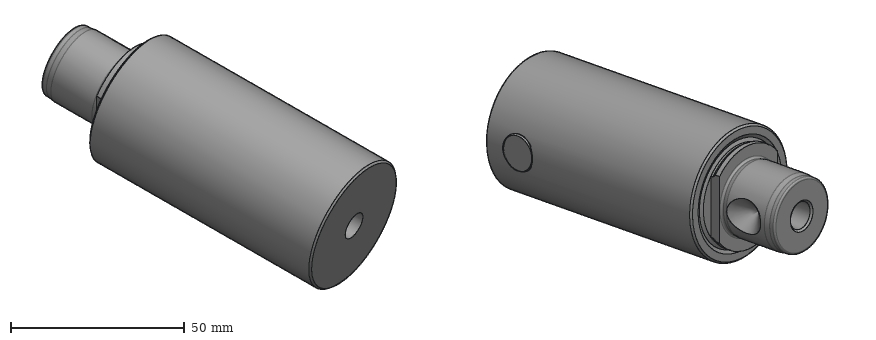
import cadquery as cq
import math

total_length = 104.0
body_start = 24.0
body_radius = 21.0
body_chamfer = 0.6

bore_radius = 4.25
bore_chamfer = 0.6

shank_radius = 12.0
pilot_radius = 11.7
pilot_fillet = 0.6
pilot_end = 1.9
lead_in_end = 3.7
undercut_start = 18.5
undercut_radius = 11.7
root_fillet = 0.7

flange_start = 20.6
flange_rim_end = 22.3
flange_radius = 16.3
flat_distance = 12.5

groove_start = 23.2
groove_radius = 15.75
recess_mouth_radius = 18.0
recess_floor_radius = 16.9
recess_depth = 0.5

dimple_x = 11.7
dimple_mouth_radius = 6.6
dimple_half_angle = math.radians(45.0)
dimple_clearance = 1.0
dimple_depth = dimple_mouth_radius / math.tan(dimple_half_angle)

screw_x = 91.4
screw_radius = 5.8
screw_length = 9.0
screw_chamfer_height = 0.6
screw_chamfer_width = 0.3


def along_y(radius, x, y_outer, length):
    """Cylinder with its outer end at y_outer, reaching inward along -Y."""
    center = cq.Vector(x, y_outer, 0)
    return cq.Workplane(cq.Solid.makeCylinder(radius, length, center, cq.Vector(0, -1, 0)))


def make_turned_blank():
    """Outer shape of the extension, revolved about X."""
    arc_offset = root_fillet * math.sin(math.radians(45.0))
    tip_offset = pilot_fillet * math.sin(math.radians(45.0))
    root_radius = undercut_radius + root_fillet
    return (
        cq.Workplane("XZ")
        .moveTo(0, 0)
        .lineTo(0, pilot_radius - pilot_fillet)
        .threePointArc(
            (pilot_fillet - tip_offset, pilot_radius - pilot_fillet + tip_offset),
            (pilot_fillet, pilot_radius),
        )
        .lineTo(pilot_end, pilot_radius)
        .lineTo(lead_in_end, shank_radius)
        .lineTo(undercut_start, shank_radius)
        .lineTo(flange_start - root_fillet, undercut_radius)
        .threePointArc(
            (flange_start - root_fillet + arc_offset, root_radius - arc_offset),
            (flange_start, root_radius),
        )
        .lineTo(flange_start, flange_radius)
        .lineTo(flange_rim_end, flange_radius)
        .lineTo(groove_start, groove_radius)
        .lineTo(body_start, groove_radius)
        .lineTo(body_start + recess_depth, recess_floor_radius)
        .lineTo(body_start, recess_mouth_radius)
        .lineTo(body_start, body_radius - body_chamfer)
        .lineTo(body_start + body_chamfer, body_radius)
        .lineTo(total_length - body_chamfer, body_radius)
        .lineTo(total_length, body_radius - body_chamfer)
        .lineTo(total_length, 0)
        .close()
        .revolve(360, (0, 0, 0), (1, 0, 0))
    )


def make_bore():
    """Through bore, with a chamfered mouth at the shank tip."""
    return (
        cq.Workplane("XZ")
        .moveTo(0, 0)
        .lineTo(0, bore_radius + bore_chamfer)
        .lineTo(bore_chamfer, bore_radius)
        .lineTo(total_length, bore_radius)
        .lineTo(total_length, 0)
        .close()
        .revolve(360, (0, 0, 0), (1, 0, 0))
    )


def make_flat_cutter(side):
    """Block that trims one wrench flat; side is +1 or -1 along Y."""
    length = body_start - flange_start
    thickness = flange_radius - flat_distance
    return cq.Workplane("XY").box(length, thickness, 2 * flange_radius).translate(
        (flange_start + length / 2, side * (flat_distance + thickness / 2), 0)
    )


def make_dimple():
    """Cone pointing inward along -Y, continued past the shank surface."""
    outer_y = shank_radius + dimple_clearance
    apex_y = shank_radius - dimple_depth
    height = outer_y - apex_y
    outer_radius = height * math.tan(dimple_half_angle)
    return cq.Workplane(
        cq.Solid.makeCone(outer_radius, 0, height, cq.Vector(dimple_x, outer_y, 0), cq.Vector(0, -1, 0))
    )


def make_extension():
    """Turned blank with its bore, shank dimple, wrench flats and screw hole."""
    extension = make_turned_blank().cut(make_bore()).cut(make_dimple())
    for side in (-1, 1):
        extension = extension.cut(make_flat_cutter(side))
    return extension.cut(along_y(screw_radius, screw_x, body_radius, screw_length))


def make_clamping_screw():
    """Headless cylindrical screw with a steep chamfer around its outer face."""
    screw = along_y(screw_radius, screw_x, body_radius, screw_length)
    outer_edges = screw.faces(">Y").val().Edges()
    return cq.Workplane(screw.val().chamfer(screw_chamfer_height, screw_chamfer_width, outer_edges))


extension = make_extension().solids()
clamping_screw = make_clamping_screw().solids()

result = cq.Compound.makeCompound([extension.val(), clamping_screw.val()])